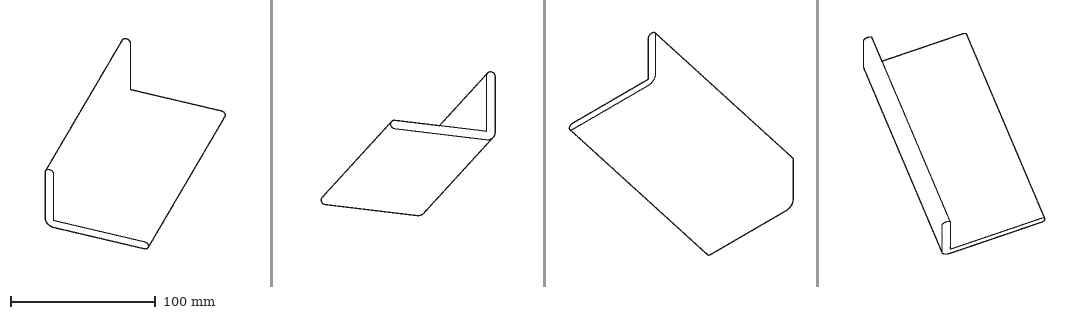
import cadquery as cq

width = 76.2
height = 50.8
length = 152.4
thickness = 6.35
inner_radius = 0.254
toe_top_setback = 3.0

bend_radius = inner_radius + thickness
tip_radius = thickness / 2


def angle_profile():
    """L-shaped section in the XZ plane, with the virtual outer corner at the origin."""
    return (
        cq.Workplane("XZ")
        .moveTo(bend_radius, 0)
        .lineTo(width - tip_radius, 0)
        .threePointArc((width, tip_radius), (width - toe_top_setback, thickness))
        .lineTo(bend_radius, thickness)
        .radiusArc((thickness, bend_radius), inner_radius)
        .lineTo(thickness, height - tip_radius)
        .threePointArc((tip_radius, height), (0, height - tip_radius))
        .lineTo(0, bend_radius)
        .radiusArc((bend_radius, 0), -bend_radius)
        .close()
    )


result = angle_profile().extrude(length / 2, both=True)